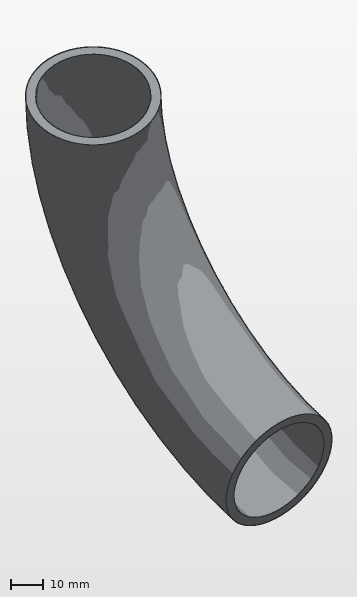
import cadquery as cq

overall_size = 114.2
outer_diameter = 42.4
wall_thickness = 3.2
bend_angle = 90.0

outer_radius = outer_diameter / 2
inner_radius = outer_radius - wall_thickness
bend_radius = overall_size - outer_radius


def pipe_elbow():
    """Sweep a ring from the upward-facing end around the bend to the +X-facing end."""
    return (
        cq.Workplane("XY")
        .circle(outer_radius)
        .circle(inner_radius)
        .revolve(bend_angle, (bend_radius, 0), (bend_radius, -1))
    )


result = pipe_elbow()